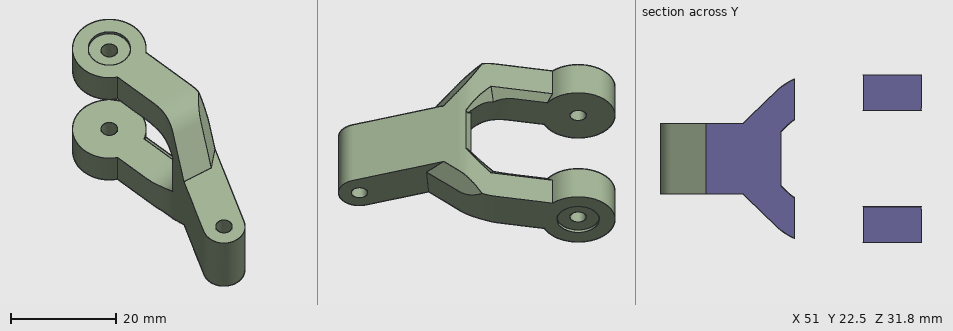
import cadquery as cq
import math

fork_height = 31.8
eye_height = 6.8
eye_radius = 7.0
arm_half_width = 4.0
bend_x = 20.0
bend_angle = 30.0
tail_end_x = 40.0
tail_height = 13.4
hole_diameter = 3.1
counterbore_diameter = 8.0
counterbore_depth = 0.6
blend_radius = 10.0
crotch_point_x = 26.2
rim_chamfer = 1.3
crotch_wall_chamfer = 2.1
shoulder_chamfer_top = 2.1
shoulder_chamfer_side = 2.5

half_height = fork_height / 2
opening_half = half_height - eye_height
bend_rad = math.radians(bend_angle)
half_bend = bend_rad / 2
tail_end_y = -(tail_end_x - bend_x) * math.tan(bend_rad)
tail_length = (tail_end_x - bend_x) / math.cos(bend_rad)
miter_shift = arm_half_width * math.tan(half_bend)
outer_bend_x = bend_x + miter_shift
inner_bend_x = bend_x - miter_shift
crotch_wall_x = outer_bend_x
reach = 2 * tail_end_x

bisector = cq.Vector(math.sin(half_bend), math.cos(half_bend), 0)
across_bisector = cq.Vector(math.cos(half_bend), -math.sin(half_bend), 0)


def nearest(x, y, z):
    """Selector for the edge whose centre is closest to a point."""
    return cq.selectors.NearestToPointSelector((x, y, z))


def along_tail(distance, offset):
    """Plan point a distance past the bend and a sideways offset from the tail centreline."""
    return (
        bend_x + distance * math.cos(bend_rad) + offset * math.sin(bend_rad),
        -distance * math.sin(bend_rad) + offset * math.cos(bend_rad),
    )


def bent_bar(height):
    """Bar that follows the bent plan outline, centred on z = 0, with a round tail end."""
    tail_tip = along_tail(tail_length + arm_half_width, 0)
    bar = (
        cq.Workplane("XY")
        .moveTo(0, -arm_half_width)
        .lineTo(inner_bend_x, -arm_half_width)
        .lineTo(*along_tail(tail_length, -arm_half_width))
        .threePointArc(tail_tip, along_tail(tail_length, arm_half_width))
        .lineTo(outer_bend_x, arm_half_width)
        .lineTo(0, arm_half_width)
        .close()
        .extrude(height / 2, both=True)
    )
    bar = bar.edges(nearest(inner_bend_x, -arm_half_width, 0)).fillet(blend_radius)
    return bar.edges(nearest(outer_bend_x, arm_half_width, 0)).fillet(blend_radius)


def shoulder_envelope():
    """Prism that narrows the fork at 45 degrees past the bend, with rounded shoulders."""
    shoulder = bend_x * math.cos(half_bend)
    prism = (
        cq.Workplane(cq.Plane(origin=(0, 0, 0), xDir=across_bisector, normal=bisector))
        .moveTo(-reach, half_height)
        .lineTo(shoulder, half_height)
        .lineTo(shoulder + half_height, 0)
        .lineTo(shoulder, -half_height)
        .lineTo(-reach, -half_height)
        .close()
        .extrude(reach, both=True)
    )
    corner = across_bisector * shoulder
    for side in (1, -1):
        prism = prism.edges(nearest(corner.x, corner.y, side * half_height)).fillet(blend_radius)
    return prism


def shoulder_chamfer_tool(side):
    """Block whose base cuts the edge between one sloping shoulder and the tail's +Y wall."""
    wall_normal = cq.Vector(math.sin(bend_rad), math.cos(bend_rad), 0)
    shoulder_normal = (across_bisector + cq.Vector(0, 0, side)).normalized()
    normal = (wall_normal * shoulder_chamfer_side + shoulder_normal * shoulder_chamfer_top).normalized()
    depth = shoulder_chamfer_top * normal.cross(shoulder_normal).Length
    edge_point = cq.Vector(outer_bend_x, arm_half_width, side * half_height)
    base = cq.Plane(origin=edge_point - normal * depth, normal=normal)
    return cq.Workplane(base).rect(reach, reach).extrude(reach)


def opening_outline(growth):
    """Sharp outline of the fork opening on the arms' +Y face, grown outwards."""
    z_flat = opening_half + growth
    point_x = crotch_point_x + growth * math.sqrt(2)
    return (
        cq.Workplane("XZ", origin=(0, arm_half_width, 0))
        .moveTo(-reach, z_flat)
        .lineTo(point_x - z_flat, z_flat)
        .lineTo(point_x, 0)
        .lineTo(point_x - z_flat, -z_flat)
        .lineTo(-reach, -z_flat)
        .close()
    )


def fork_opening():
    """Opening between the arms: rounded roots, chamfered +Y rim and an upright crotch wall."""
    opening = opening_outline(0).extrude(reach, both=True)
    root_x = crotch_point_x - opening_half
    for side in (1, -1):
        opening = opening.edges(nearest(root_x, arm_half_width, side * opening_half)).fillet(blend_radius)
    rim = opening_outline(rim_chamfer).extrude(2 * arm_half_width, taper=45)
    up_to_wall = (
        cq.Workplane("XY")
        .moveTo(-reach, -reach)
        .lineTo(crotch_wall_x, -reach)
        .lineTo(crotch_wall_x, arm_half_width - crotch_wall_chamfer)
        .lineTo(crotch_wall_x + crotch_wall_chamfer, arm_half_width)
        .lineTo(-reach, arm_half_width)
        .close()
        .extrude(half_height, both=True)
    )
    return opening.union(rim).intersect(up_to_wall)


def disc_below_face(side, radius, depth):
    """Disc on the eye axis that runs inwards from the upper (1) or lower (-1) outer face."""
    face = cq.Workplane("XY", origin=(0, 0, side * half_height))
    return face.circle(radius).extrude(-side * depth)


def through_hole(x, y):
    """Pin for drilling a vertical hole right through the part."""
    return cq.Workplane("XY").center(x, y).circle(hole_diameter / 2).extrude(reach, both=True)


body = bent_bar(fork_height).intersect(shoulder_envelope())
for side in (1, -1):
    body = body.cut(shoulder_chamfer_tool(side))
body = body.union(bent_bar(tail_height)).cut(fork_opening())

for side in (1, -1):
    body = body.union(disc_below_face(side, eye_radius, eye_height))
    body = body.cut(disc_below_face(side, counterbore_diameter / 2, counterbore_depth))

result = body.cut(through_hole(0, 0)).cut(through_hole(tail_end_x, tail_end_y))